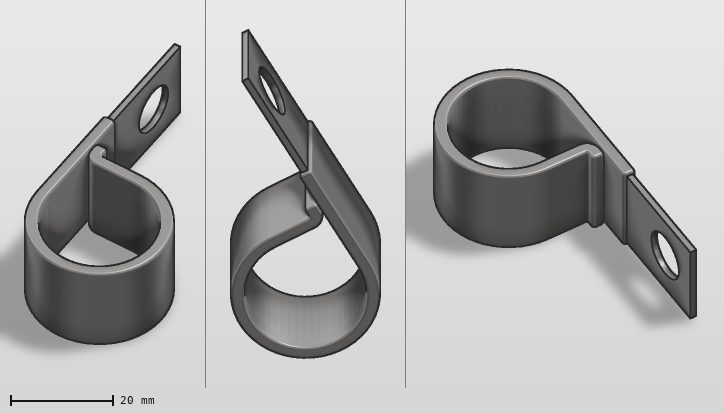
import cadquery as cq
import math

total_length = 62.3
loop_diameter = 29.35
sleeve_height = 20.55

sleeve_thickness = 2.75
sleeve_round = 0.75
lip_gap = 0.05
lip_inner_radius = 0.3
lip_straight = 1.8

tab_thickness = 1.4
tab_height = 19.0
tab_length = 23.8
tab_embed = 3.1
hole_diameter = 10.35
hole_from_end = tab_height / 2

outer_radius = loop_diameter / 2
inner_radius = outer_radius - sleeve_thickness
tab_end = total_length - outer_radius
sleeve_end = tab_end - tab_length
lip_outer_radius = lip_inner_radius + sleeve_thickness
lip_left = -inner_radius + lip_gap
lip_right = lip_left + sleeve_thickness
bend_x = lip_left + lip_outer_radius
bend_y = outer_radius + lip_inner_radius
lip_end = bend_y + lip_straight


def diagonal_point(center_x, center_y, radius, x_sign):
    """Point at 45 degrees below a centre, on the side given by x_sign."""
    offset = radius * math.sqrt(0.5)
    return center_x + x_sign * offset, center_y - offset


def make_sleeve():
    """Constant-thickness band: straight leg, 270 degree loop, arm and upturned lip."""
    outline = (
        cq.Workplane("XY")
        .workplane(offset=-sleeve_height / 2)
        .moveTo(-outer_radius, sleeve_end)
        .lineTo(-outer_radius, 0)
        .threePointArc(diagonal_point(0, 0, outer_radius, 1), (0, outer_radius))
        .lineTo(bend_x, outer_radius)
        .threePointArc(diagonal_point(bend_x, bend_y, lip_inner_radius, -1), (lip_right, bend_y))
        .lineTo(lip_right, lip_end)
        .lineTo(lip_left, lip_end)
        .lineTo(lip_left, bend_y)
        .threePointArc(diagonal_point(bend_x, bend_y, lip_outer_radius, -1), (bend_x, inner_radius))
        .lineTo(0, inner_radius)
        .threePointArc(diagonal_point(0, 0, inner_radius, 1), (-inner_radius, 0))
        .lineTo(-inner_radius, sleeve_end)
        .close()
    )
    sleeve = outline.extrude(sleeve_height)
    return round_sleeve(sleeve)


def round_sleeve(sleeve):
    """Round both rims of the band and the upright edges of its two ends."""
    ends_start = (bend_y + lip_end) / 2
    end_zone = cq.selectors.BoxSelector(
        (-loop_diameter, ends_start, -sleeve_height),
        (loop_diameter, tab_end, sleeve_height),
    )
    upright_ends = cq.selectors.StringSyntaxSelector("|Z") & end_zone
    rounded_ends = sleeve.edges(upright_ends).fillet(sleeve_round)
    return rounded_ends.faces("<Z or >Z").edges().fillet(sleeve_round)


def make_tab():
    """Flat strap end, starting inside the sleeve, with a hole through its thickness."""
    tab = cq.Workplane("XY").box(
        tab_thickness, tab_length + tab_embed, tab_height, centered=(True, False, True)
    )
    tab = tab.translate((-outer_radius + sleeve_thickness / 2, sleeve_end - tab_embed, 0))
    hole = (
        cq.Workplane("YZ")
        .center(tab_end - hole_from_end, 0)
        .circle(hole_diameter / 2)
        .extrude(loop_diameter, both=True)
    )
    return tab.cut(hole)


result = make_sleeve().union(make_tab())